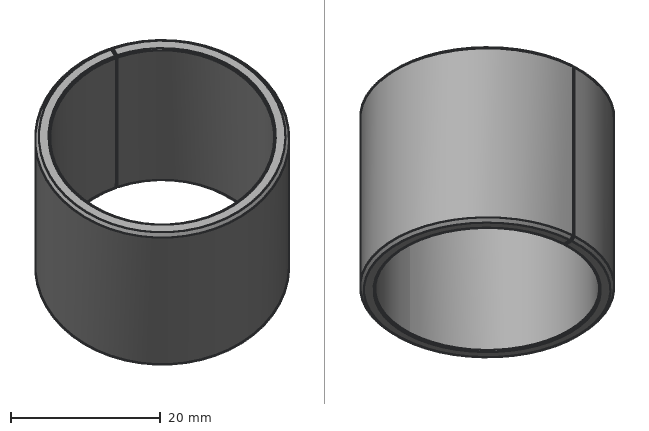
import cadquery as cq
import math

outer_diameter = 34.0
inner_diameter = 30.0
length = 28.0
outer_chamfer = 0.5
inner_chamfer = 0.2
slit_angle = 1.0

outer_radius = outer_diameter / 2
inner_radius = inner_diameter / 2


def make_sleeve():
    """Revolve the wall section, with chamfered rims, about Z."""
    section = (
        cq.Workplane("XZ")
        .moveTo(inner_radius, inner_chamfer)
        .lineTo(inner_radius + inner_chamfer, 0)
        .lineTo(outer_radius - outer_chamfer, 0)
        .lineTo(outer_radius, outer_chamfer)
        .lineTo(outer_radius, length - outer_chamfer)
        .lineTo(outer_radius - outer_chamfer, length)
        .lineTo(inner_radius + inner_chamfer, length)
        .lineTo(inner_radius, length - inner_chamfer)
        .close()
    )
    return section.revolve(360, (0, 0, 0), (0, 1, 0))


def make_slit():
    """Full-length wedge, tapering to the axis, with one face on the XZ plane at -X."""
    reach = 2 * outer_radius
    return (
        cq.Workplane("XY")
        .moveTo(0, 0)
        .lineTo(-reach, 0)
        .lineTo(-reach, reach * math.tan(math.radians(slit_angle)))
        .close()
        .extrude(length)
    )


result = make_sleeve().cut(make_slit())